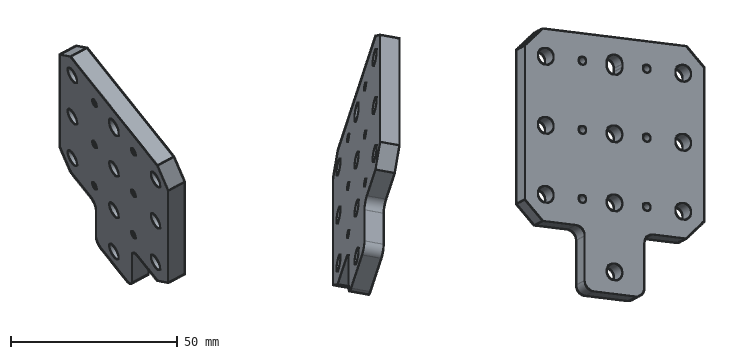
import cadquery as cq

plate_side = 60.0
thickness = 6.0
corner_chamfer = 6.0
tab_width = 20.0
tab_length = 20.0
tab_radius = 3.0
selection_margin = 0.8

hole_diameter = 5.2
small_hole_diameter = 2.5
slot_length = 6.2
row_pitch = 21.5
outer_column_x = 23.0
small_column_x = row_pitch / 2
top_row_inset = 8.6

top_z = plate_side / 2
row_heights = [top_z - top_row_inset - i * row_pitch for i in range(4)]
top_row, middle_row, bottom_row, tab_row = row_heights
plate_rows = [top_row, middle_row, bottom_row]


def make_body():
    """Square plate with chamfered corners and a tab with rounded corners."""
    plate = (
        cq.Workplane("XZ")
        .rect(plate_side, plate_side)
        .extrude(thickness / 2, both=True)
        .edges("|Y")
        .chamfer(corner_chamfer)
    )
    tab_height = plate_side / 2 + tab_length
    tab = (
        cq.Workplane("XZ")
        .center(0, -tab_height / 2)
        .rect(tab_width, tab_height)
        .extrude(thickness / 2, both=True)
        .edges("|Y and <Z")
        .fillet(tab_radius)
    )
    inner_corners = cq.selectors.BoxSelector(
        (-tab_width / 2 - selection_margin, -thickness, -plate_side / 2 - selection_margin),
        (tab_width / 2 + selection_margin, thickness, -plate_side / 2 + selection_margin),
    )
    return plate.union(tab).edges("|Y").edges(inner_corners).fillet(tab_radius)


def through_holes(centres, diameter):
    """Cylinders along Y that pass through the whole plate."""
    return (
        cq.Workplane("XZ")
        .pushPoints(centres)
        .circle(diameter / 2)
        .extrude(thickness, both=True)
    )


def top_slot():
    """Vertical slot in the middle of the top row."""
    return (
        cq.Workplane("XZ")
        .center(0, top_row)
        .slot2D(slot_length, hole_diameter, 90)
        .extrude(thickness, both=True)
    )


outer_centres = [(x, z) for x in (-outer_column_x, outer_column_x) for z in plate_rows]
middle_centres = [(0, z) for z in (middle_row, bottom_row, tab_row)]
small_centres = [(x, z) for x in (-small_column_x, small_column_x) for z in plate_rows]

result = (
    make_body()
    .cut(through_holes(outer_centres + middle_centres, hole_diameter))
    .cut(through_holes(small_centres, small_hole_diameter))
    .cut(top_slot())
)